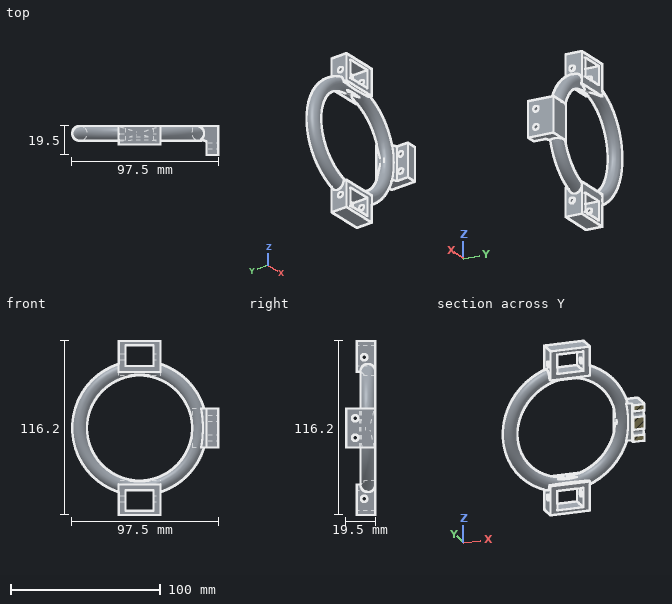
import cadquery as cq

ring_radius = 40.0
tube_radius = 5.0
back_y = tube_radius

block_width = 28.0
block_depth = 12.5
block_outer_z = 58.1
inner_wall = 4.0
outer_wall = 3.0
window_width = 18.5
window_height = 13.6
block_height = inner_wall + window_height + outer_wall
block_front_y = back_y - block_depth
block_hole_y = -2.5
block_hole_z = 47.2

pad_clearance = 0.02
pad_face_z = ring_radius - tube_radius + pad_clearance
pad_front_y = -2.5

bracket_height = 26.2
bracket_outer_x = 52.49
bracket_inner_x = 35.2
flange_thickness = 8.0
flange_inner_x = bracket_outer_x - flange_thickness
bracket_depth = 19.5
bracket_front_y = back_y - bracket_depth
ramp_start_y = -1.5
ramp_end_y = -5.45
bracket_hole_y = -8.5
bracket_hole_spacing = 13.0

hole_diameter = 4.0


def box_between(x0, x1, y0, y1, z0, z1):
    """Axis-aligned box given by its limits along X, Y and Z."""
    return cq.Workplane("XY").box(x1 - x0, y1 - y0, z1 - z0, centered=False).translate((x0, y0, z0))


def hole_along_x(x0, x1, y, z):
    """Cylinder for a round hole that runs along X."""
    return (
        cq.Workplane("YZ", origin=(x0, y, z))
        .circle(hole_diameter / 2)
        .extrude(x1 - x0)
    )


def make_ring():
    """Round tube bent into a full circle about the Y axis."""
    return cq.Workplane("XY").add(
        cq.Solid.makeTorus(ring_radius, tube_radius, cq.Vector(0, 0, 0), cq.Vector(0, 1, 0))
    )


def make_top_block():
    """Solid upper block with its pad, before the window and hole are cut."""
    half_width = block_width / 2
    block_inner_z = block_outer_z - block_height
    frame = box_between(
        -half_width, half_width,
        block_front_y, back_y,
        block_inner_z, block_outer_z,
    )
    pad = box_between(
        -half_width, half_width,
        pad_front_y, back_y,
        pad_face_z, block_inner_z,
    )
    return frame.union(pad)


def make_top_block_cuts():
    """Window through the upper block along Y and round hole through it along X."""
    half_window = window_width / 2
    window_top = block_outer_z - outer_wall
    window = box_between(
        -half_window, half_window,
        block_front_y, back_y,
        window_top - window_height, window_top,
    )
    return window.union(hole_along_x(-block_width / 2, block_width / 2, block_hole_y, block_hole_z))


def make_bracket():
    """Side bracket with two round holes through its flange."""
    outline = [
        (bracket_inner_x, back_y),
        (bracket_outer_x, back_y),
        (bracket_outer_x, bracket_front_y),
        (flange_inner_x, bracket_front_y),
        (flange_inner_x, ramp_end_y),
        (bracket_inner_x, ramp_start_y),
    ]
    body = (
        cq.Workplane("XY", origin=(0, 0, -bracket_height / 2))
        .polyline(outline)
        .close()
        .extrude(bracket_height)
    )
    for side in (-1, 1):
        z = side * bracket_hole_spacing / 2
        body = body.cut(hole_along_x(flange_inner_x, bracket_outer_x, bracket_hole_y, z))
    return body


top_block = make_top_block()
top_cuts = make_top_block_cuts()

result = make_ring().union(make_bracket())
result = result.union(top_block).union(top_block.mirror("XY"))
result = result.cut(top_cuts).cut(top_cuts.mirror("XY"))